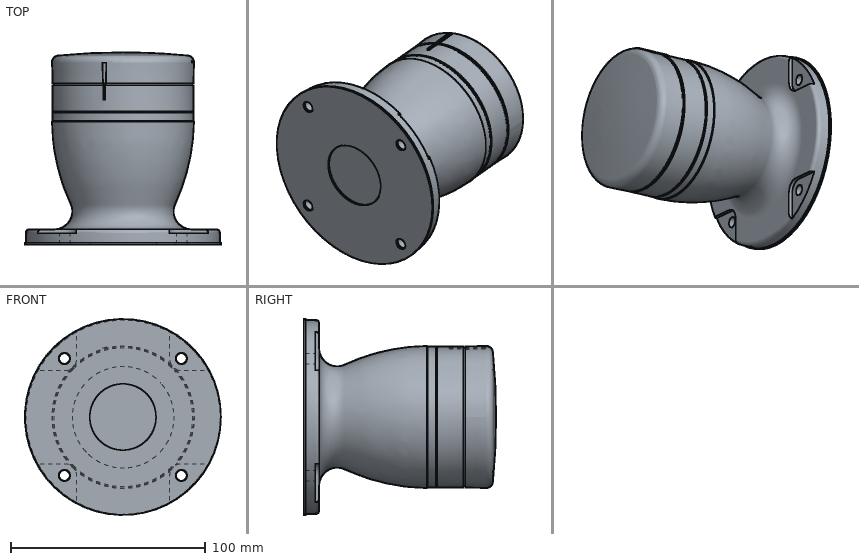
import cadquery as cq
import math


LIP_RADIUS = 50.5
LIP_THICKNESS = 1.0
FLANGE_RADIUS = 50.0
FLANGE_TOP = 8.0
FLANGE_EDGE_RADIUS = 1.9
RECESS_RADIUS = 17.1
RECESS_DEPTH = LIP_THICKNESS

HOLE_OFFSET = 30.1
HOLE_RADIUS = 2.7
HOLE_MOUTH_RADIUS = 2.9
POCKET_CORNER_RADIUS = 6.2
POCKET_FLOOR = 6.0

WAIST_RADIUS = 26.2
WAIST_Y = 17.2
WAIST_BLEND_RADIUS = WAIST_Y - FLANGE_TOP
BULB_RADIUS = 36.7
BULB_START_Y = 21.0
BULB_TOP_Y = 63.4
BULB_STEP = 0.4

COLLAR_RADIUS = 36.4
COLLAR_GROOVE_BOTTOM = 68.0
COLLAR_GROOVE_TOP = 68.8
COLLAR_TOP = 82.0
GROOVE_DEPTH = 0.6
NECK_RADIUS = COLLAR_RADIUS - GROOVE_DEPTH

CAP_BOTTOM = 83.1
CAP_BOTTOM_RADIUS = COLLAR_RADIUS
CAP_TOP_RADIUS = 36.7
CAP_SIDE_TOP = 93.7
CAP_EDGE_RADIUS = 3.7
OVERALL_LENGTH = 99.1

MARK_ANGLE = 15.0
MARK_CREST_RADIUS = 37.1
MARK_ROOT_RADIUS = 34.8
BASE_MARK_START = 74.5
BASE_MARK_WIDTH = 0.9
CAP_MARK_WIDTH = 1.5
CAP_MARK_TIP_WIDTH = 2.1


def revolve_about_y(profile):
    return profile.close().revolve(360, (0, 0, 0), (0, 1, 0))


def y_cylinder(radius, y_start, y_end, x=0, z=0):
    solid = cq.Solid.makeCylinder(radius, y_end - y_start, cq.Vector(x, y_start, z), cq.Vector(0, 1, 0))
    return cq.Workplane(obj=solid)


def index_mark(y_start, y_end, start_width, end_width):
    """Radial bar whose sides run from start_width to end_width, turned to the mark angle."""
    bar = (
        cq.Workplane("XY")
        .workplane(offset=MARK_ROOT_RADIUS)
        .polyline([
            (-start_width / 2, y_start),
            (start_width / 2, y_start),
            (end_width / 2, y_end),
            (-end_width / 2, y_end),
        ])
        .close()
        .extrude(MARK_CREST_RADIUS - MARK_ROOT_RADIUS)
    )
    return bar.rotate((0, 0, 0), (0, 1, 0), -MARK_ANGLE)


def base_blank():
    blend_angle = math.asin((BULB_START_Y - WAIST_Y) / WAIST_BLEND_RADIUS)
    blend_center_r = WAIST_RADIUS + WAIST_BLEND_RADIUS

    def blend_point(angle):
        return (
            blend_center_r - WAIST_BLEND_RADIUS * math.cos(angle),
            WAIST_Y + WAIST_BLEND_RADIUS * math.sin(angle),
        )

    edge_diagonal = FLANGE_EDGE_RADIUS * (1 - math.sqrt(0.5))
    return revolve_about_y(
        cq.Workplane("XY")
        .moveTo(0, 0)
        .lineTo(LIP_RADIUS, 0)
        .lineTo(LIP_RADIUS, LIP_THICKNESS)
        .lineTo(FLANGE_RADIUS, LIP_THICKNESS)
        .lineTo(FLANGE_RADIUS, FLANGE_TOP - FLANGE_EDGE_RADIUS)
        .threePointArc(
            (FLANGE_RADIUS - edge_diagonal, FLANGE_TOP - edge_diagonal),
            (FLANGE_RADIUS - FLANGE_EDGE_RADIUS, FLANGE_TOP),
        )
        .lineTo(blend_center_r, FLANGE_TOP)
        .threePointArc(blend_point(-math.pi / 4), blend_point(0))
        .threePointArc(blend_point(blend_angle / 2), blend_point(blend_angle))
        .tangentArcPoint((BULB_RADIUS, BULB_TOP_Y), relative=False)
        .lineTo(COLLAR_RADIUS, BULB_TOP_Y + BULB_STEP)
        .lineTo(COLLAR_RADIUS, COLLAR_GROOVE_BOTTOM)
        .lineTo(NECK_RADIUS, COLLAR_GROOVE_BOTTOM)
        .lineTo(NECK_RADIUS, COLLAR_GROOVE_TOP)
        .lineTo(COLLAR_RADIUS, COLLAR_GROOVE_TOP)
        .lineTo(COLLAR_RADIUS, COLLAR_TOP)
        .lineTo(NECK_RADIUS, COLLAR_TOP)
        .lineTo(NECK_RADIUS, CAP_BOTTOM)
        .lineTo(0, CAP_BOTTOM)
    )


def corner_pocket(x_side, z_side):
    """Square pocket around one mounting hole, rounded at its inner corner and open outward."""
    inner = HOLE_OFFSET - POCKET_CORNER_RADIUS
    size = LIP_RADIUS - inner
    pocket = (
        cq.Workplane("XY")
        .box(size, FLANGE_TOP - POCKET_FLOOR, size, centered=False)
        .edges("|Y and <X and <Z")
        .fillet(POCKET_CORNER_RADIUS)
        .translate((inner, POCKET_FLOOR, inner))
    )
    if x_side < 0:
        pocket = pocket.mirror("YZ")
    if z_side < 0:
        pocket = pocket.mirror("XY")
    return pocket


def make_base():
    base = base_blank().cut(y_cylinder(RECESS_RADIUS, 0, RECESS_DEPTH))
    for x_side in (-1, 1):
        for z_side in (-1, 1):
            x = x_side * HOLE_OFFSET
            z = z_side * HOLE_OFFSET
            base = base.cut(corner_pocket(x_side, z_side))
            base = base.cut(y_cylinder(HOLE_RADIUS, 0, FLANGE_TOP, x, z))
            base = base.cut(y_cylinder(HOLE_MOUTH_RADIUS, 0, LIP_THICKNESS, x, z))
    return base.union(index_mark(BASE_MARK_START, CAP_BOTTOM, BASE_MARK_WIDTH, BASE_MARK_WIDTH))


def make_cap():
    edge_center_r = CAP_TOP_RADIUS - CAP_EDGE_RADIUS
    edge_center_drop = OVERALL_LENGTH - CAP_SIDE_TOP
    dome_radius = (edge_center_r**2 + edge_center_drop**2 - CAP_EDGE_RADIUS**2) / (
        2 * (edge_center_drop - CAP_EDGE_RADIUS)
    )
    dome_angle = math.asin(edge_center_r / (dome_radius - CAP_EDGE_RADIUS))
    edge_angle = (math.pi / 2 + dome_angle) / 2

    def dome_point(angle):
        return (
            dome_radius * math.sin(angle),
            OVERALL_LENGTH - dome_radius * (1 - math.cos(angle)),
        )

    cap = revolve_about_y(
        cq.Workplane("XY")
        .moveTo(0, CAP_BOTTOM)
        .lineTo(CAP_BOTTOM_RADIUS, CAP_BOTTOM)
        .lineTo(CAP_TOP_RADIUS, CAP_SIDE_TOP)
        .threePointArc(
            (
                edge_center_r + CAP_EDGE_RADIUS * math.sin(edge_angle),
                CAP_SIDE_TOP + CAP_EDGE_RADIUS * math.cos(edge_angle),
            ),
            dome_point(dome_angle),
        )
        .threePointArc(dome_point(dome_angle / 2), (0, OVERALL_LENGTH))
    )
    return cap.union(index_mark(CAP_BOTTOM, CAP_SIDE_TOP, CAP_MARK_WIDTH, CAP_MARK_TIP_WIDTH))


base = make_base()
cap = make_cap()

result = cq.Compound.makeCompound([base.val(), cap.val()])